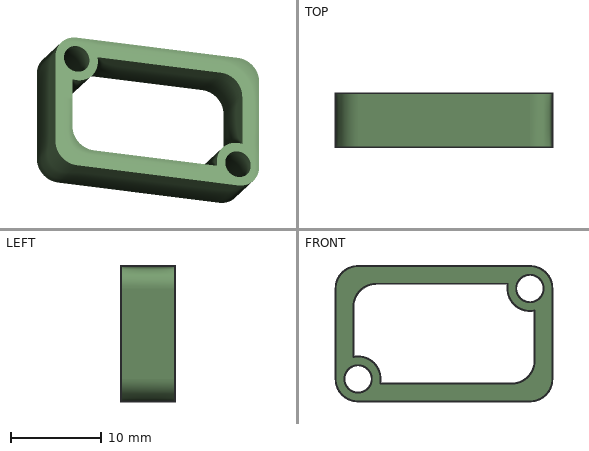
import cadquery as cq

length = 24.0
depth = 6.0
height = 15.0

wall = 2.0
corner_radius = 2.5
window_corner_radius = 2.5

boss_radius = corner_radius
hole_diameter = 3.0
boss_x = length / 2 - corner_radius
boss_z = height / 2 - corner_radius
boss_centers = [(-boss_x, -boss_z), (boss_x, boss_z)]


def rounded_block(size_x, size_z, radius):
    """Block centred on the origin with its four depth-wise edges rounded."""
    return cq.Workplane("XY").box(size_x, depth, size_z).edges("|Y").fillet(radius)


def cylinders(centers, radius):
    """Full-depth cylinders along Y at the given (x, z) centers."""
    front_plane = cq.Workplane("XZ", origin=(0, -depth / 2, 0))
    return front_plane.pushPoints(centers).circle(radius).extrude(-depth)


outer = rounded_block(length, height, corner_radius)
window = rounded_block(length - 2 * wall, height - 2 * wall, window_corner_radius)
frame = outer.cut(window)

bosses = cylinders(boss_centers, boss_radius)
holes = cylinders(boss_centers, hole_diameter / 2)

result = frame.union(bosses).cut(holes)